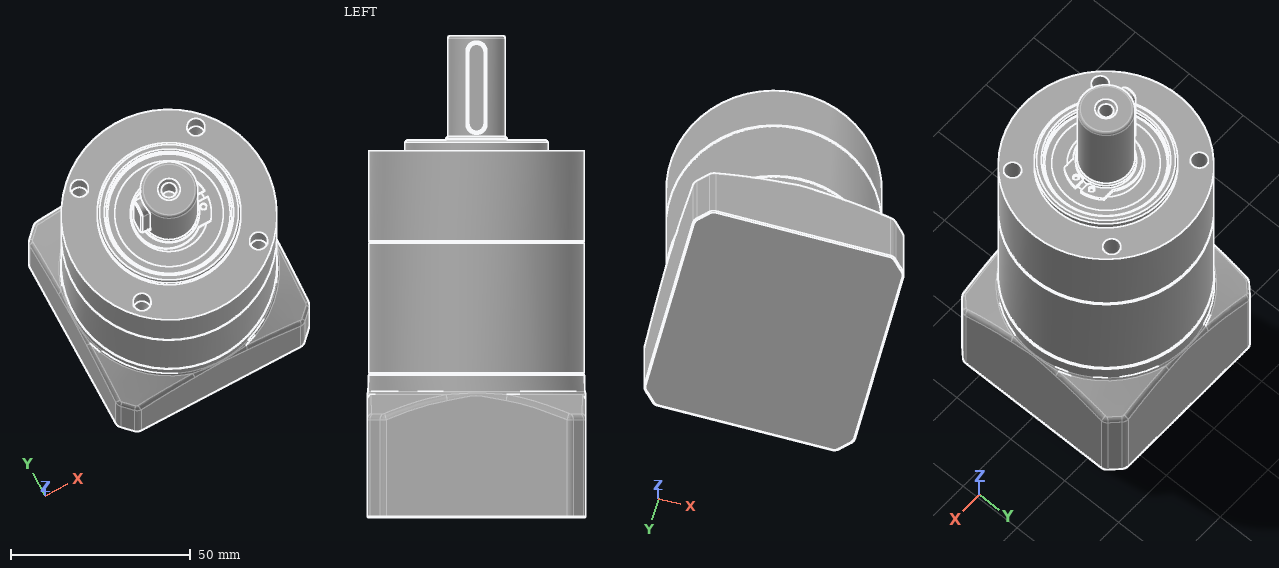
import cadquery as cq
import math

base_top = 40.0
gear_ring_top = 76.6
flange_top = 102.0
pilot_top = 105.0
collar_top = 106.0
shaft_top = 134.0

adapter_width = 60.83
corner_across = 80.0
corner_radius = 2.5
shoulder_radius = 2.0
foot_chamfer = 0.4
body_radius = 30.0
joint_chamfer = 0.35
neck_base_radius = 30.2
neck_bottom = 34.6
neck_fillet = 1.0
neck_fillet_margin = 0.2
shoulder_angle = 32.5
blank_margin = 5.0

pilot_radius = 20.0
pilot_chamfer = 0.7
bore_chamfer = 0.5
screw_circle_radius = 26.0
screw_hole_diameter = 5.0
screw_hole_angles = (45, 135, 225, 315)
screw_hole_depth = 10.0
drill_point_angle = 90.0

bearing_width = 10.0
bearing_top = 103.2
bearing_bottom = bearing_top - bearing_width
bearing_radius = 17.5
outer_race_inner_radius = 15.1
inner_race_outer_radius = 10.8
bearing_edge_chamfer = 0.5

shaft_radius = 8.0
collar_radius = 8.5
collar_chamfer = collar_radius - shaft_radius
shaft_fillet = 0.8
center_hole_radius = 2.1
center_hole_depth = 12.0
center_sink_radius = 3.1
center_sink_angle = 90.0

key_width = 5.0
key_length = 25.0
key_bottom = 107.0
key_outer_x = -10.0
key_height = 5.0
key_chamfer = 0.4
keyway_clearance = 0.4

clip_thickness = 1.0
clip_outer_radius = 9.7
clip_outer_shift = -0.8
lug_radius = 11.8
lug_width = 14.8
clip_gap = 1.9
plier_hole_diameter = 1.7
plier_hole_x = 9.3
plier_hole_y = 2.9


def cylinder(radius, bottom, top):
    return cq.Workplane("XY").workplane(offset=bottom).circle(radius).extrude(top - bottom)


def tube(outer_radius, inner_radius, bottom, top):
    ring = cq.Workplane("XY").workplane(offset=bottom).circle(outer_radius).circle(inner_radius)
    return ring.extrude(top - bottom)


def make_adapter():
    """Square block under a cone shoulder that runs up into a slightly flared round neck."""
    slope = math.radians(shoulder_angle)
    outer_reach = corner_across / 2 + blank_margin
    drop = (outer_reach - neck_base_radius) * math.tan(slope)
    turned = (
        cq.Workplane("XZ")
        .polyline([
            (0, 0),
            (outer_reach, 0),
            (outer_reach, neck_bottom - drop),
            (neck_base_radius, neck_bottom),
            (body_radius, base_top),
            (0, base_top),
        ])
        .close()
        .revolve(360, (0, 0, 0), (0, 1, 0))
    )
    neck_base = cq.selectors.RadiusNthSelector(1)
    turned = turned.edges("%CIRCLE").edges(neck_base).fillet(neck_fillet)
    corner_cut = adapter_width - corner_across / math.sqrt(2)
    block = (
        cq.Workplane("XY")
        .rect(adapter_width, adapter_width)
        .extrude(base_top)
        .edges("|Z")
        .chamfer(corner_cut)
        .edges("|Z")
        .fillet(corner_radius)
    )
    body = block.intersect(turned)
    shoulder_edges = cq.selectors.BoxSelector(
        (-outer_reach, -outer_reach, neck_bottom - drop),
        (outer_reach, outer_reach, neck_bottom + neck_fillet_margin),
        boundingbox=True,
    )
    body = body.edges(shoulder_edges).fillet(shoulder_radius)
    return body.faces("<Z").chamfer(foot_chamfer).faces(">Z").chamfer(joint_chamfer)


def make_gear_ring():
    ring = cylinder(body_radius, base_top, gear_ring_top)
    return ring.edges("%CIRCLE").chamfer(joint_chamfer)


def make_flange():
    drum = cylinder(body_radius, gear_ring_top, flange_top).faces("<Z").chamfer(joint_chamfer)
    pilot = cylinder(pilot_radius, flange_top, pilot_top).faces(">Z").chamfer(pilot_chamfer)
    flange = drum.union(pilot).cut(cylinder(bearing_radius, bearing_bottom, pilot_top))
    flange = flange.faces(">Z").edges(cq.selectors.RadiusNthSelector(0)).chamfer(bore_chamfer)

    hole_radius = screw_hole_diameter / 2
    point_depth = hole_radius / math.tan(math.radians(drill_point_angle / 2))
    drill = (
        cq.Workplane("XZ")
        .polyline([
            (0, flange_top),
            (hole_radius, flange_top),
            (hole_radius, flange_top - screw_hole_depth),
            (0, flange_top - screw_hole_depth - point_depth),
        ])
        .close()
        .revolve(360, (0, 0, 0), (0, 1, 0))
        .translate((screw_circle_radius, 0, 0))
    )
    for angle in screw_hole_angles:
        flange = flange.cut(drill.rotate((0, 0, 0), (0, 0, 1), angle))
    return flange


def make_bearing_outer_race():
    race = tube(bearing_radius, outer_race_inner_radius, bearing_bottom, bearing_top)
    return race.faces(">Z").edges(cq.selectors.RadiusNthSelector(-1)).chamfer(bearing_edge_chamfer)


def make_bearing_shield():
    return tube(outer_race_inner_radius, inner_race_outer_radius, bearing_bottom, bearing_top)


def make_bearing_inner_race():
    return tube(inner_race_outer_radius, collar_radius, bearing_bottom, bearing_top)


def make_key_blank(clearance=0.0):
    """Round-ended bar standing along Z with its flat outer face toward -X."""
    return (
        cq.Workplane("YZ")
        .workplane(offset=key_outer_x)
        .center(0, key_bottom + key_length / 2)
        .slot2D(key_length + 2 * clearance, key_width + 2 * clearance, 90)
        .extrude(key_height)
    )


def make_key():
    return make_key_blank().faces("<X").chamfer(key_chamfer)


def make_shaft():
    collar = cylinder(collar_radius, bearing_bottom, collar_top).faces(">Z").chamfer(collar_chamfer)
    journal = cylinder(shaft_radius, collar_top, shaft_top).faces(">Z").edges().fillet(shaft_fillet)
    shaft = collar.union(journal)
    shaft = (
        shaft.faces(">Z")
        .workplane()
        .cskHole(2 * center_hole_radius, 2 * center_sink_radius, center_sink_angle, center_hole_depth)
    )
    return shaft.cut(make_key_blank(keyway_clearance))


def make_retaining_ring():
    """Open ring, thickest opposite its gap, with two drilled plier lugs at +X."""
    bottom = bearing_top
    top = bottom + clip_thickness
    ring = cylinder(clip_outer_radius, bottom, top).translate((clip_outer_shift, 0, 0))
    lug_block = cq.Workplane("XY").box(lug_radius, lug_width, clip_thickness, centered=(False, True, False))
    lugs = cylinder(lug_radius, bottom, top).intersect(lug_block.translate((0, 0, bottom)))
    gap = cq.Workplane("XY").box(lug_radius, clip_gap, clip_thickness, centered=(False, True, False))
    clip = ring.union(lugs)
    clip = clip.cut(cylinder(collar_radius, bottom, top)).cut(gap.translate((0, 0, bottom)))
    for side in (-1, 1):
        hole = cylinder(plier_hole_diameter / 2, bottom, top)
        clip = clip.cut(hole.translate((plier_hole_x, side * plier_hole_y, 0)))
    return clip


adapter = make_adapter()
gear_ring = make_gear_ring()
flange = make_flange()
bearing_outer_race = make_bearing_outer_race()
bearing_shield = make_bearing_shield()
bearing_inner_race = make_bearing_inner_race()
shaft = make_shaft()
key = make_key()
retaining_ring = make_retaining_ring()

result = cq.Compound.makeCompound([
    adapter.val(),
    gear_ring.val(),
    flange.val(),
    bearing_outer_race.val(),
    bearing_shield.val(),
    bearing_inner_race.val(),
    shaft.val(),
    key.val(),
    retaining_ring.val(),
])